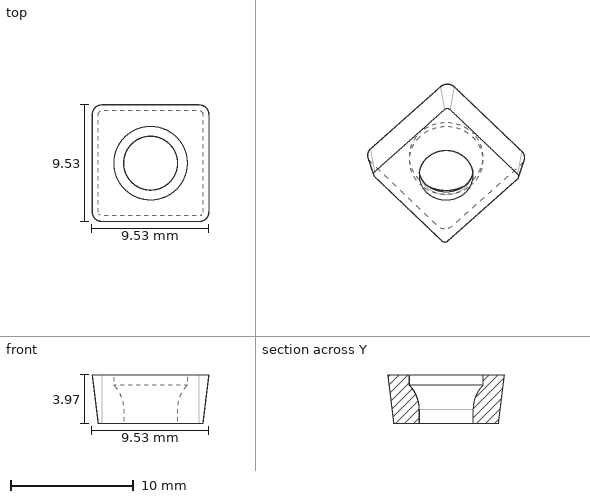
import cadquery as cq
import math

side = 9.53
thickness = 3.97
corner_radius = 0.8
relief_angle = 7.0

hole_diameter = 4.38
counterbore_diameter = 6.0
counterbore_depth = 0.83
seat_height = 2.0


def tapered_body():
    """Rounded square whose sides lean inward towards the bottom face at z = 0."""
    return (
        cq.Workplane("XY", origin=(0, 0, thickness))
        .sketch()
        .rect(side, side)
        .vertices()
        .fillet(corner_radius)
        .finalize()
        .extrude(-thickness, taper=relief_angle)
    )


def screw_hole():
    """Revolved cutter; the convex seat arc runs tangent into the straight hole."""
    hole_radius = hole_diameter / 2
    counterbore_radius = counterbore_diameter / 2
    seat_width = counterbore_radius - hole_radius
    seat_top = thickness - counterbore_depth
    seat_bottom = seat_top - seat_height

    arc_radius = (seat_height**2 + seat_width**2) / (2 * seat_width)
    half_angle = math.asin(seat_height / arc_radius) / 2
    arc_middle = (
        hole_radius + arc_radius * (1 - math.cos(half_angle)),
        seat_bottom + arc_radius * math.sin(half_angle),
    )
    return (
        cq.Workplane("XZ")
        .lineTo(hole_radius, 0)
        .lineTo(hole_radius, seat_bottom)
        .threePointArc(arc_middle, (counterbore_radius, seat_top))
        .lineTo(counterbore_radius, thickness)
        .lineTo(0, thickness)
        .close()
        .revolve(360, (0, 0, 0), (0, 1, 0))
    )


result = tapered_body().cut(screw_hole())